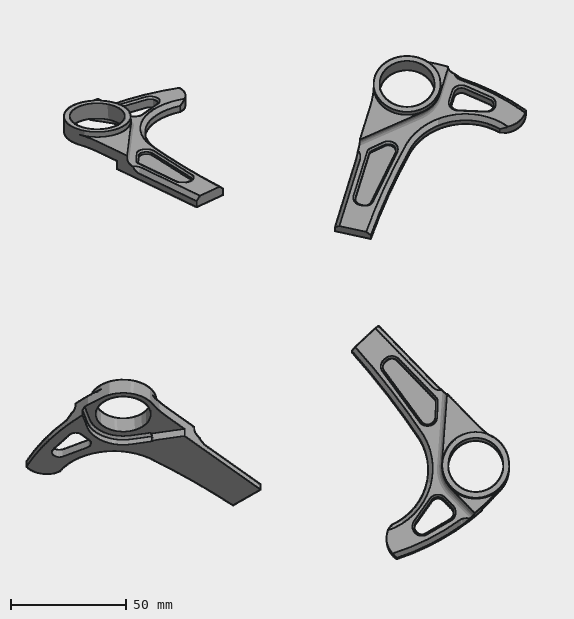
import cadquery as cq
import math


ring_top = 11.5
boss_top = 9.0
arm_top = 4.9
chamfer_foot = 3.05
recess_roof = 3.95

ring_radius = 14.6
bore_radius = 11.95
left_x = -15.0
arm_end_x = 89.85 + left_x
front_y = -13.0
tip_y = 52.4
tip_drop = 0.2
chamfer_width = 2.1
long_edge_minimum = 26.95
runout_radius = 3.4
left_runout_x = -13.9
left_runout_y = 22.0
front_runout_x = 39.1
runout_block_width = 7.2
reach = 107.8

boss_radius = 14.7
boss_slope_angle = 42.2
boss_fillet = 3.0

recess_radius = 16.2
recess_right_angle = 29.5
recess_left_angle = 118.0
recess_bevel = 1.2
bevel_end_y = -0.3
bevel_wall_shift = 0.5

window_bevel = 0.9
pocket_depth = 2.0


def polar(radius, degrees, along=0.0):
    """Point at a radius, moved along the clockwise tangent there."""
    angle = math.radians(degrees)
    return (
        radius * math.cos(angle) + along * math.sin(angle),
        radius * math.sin(angle) - along * math.cos(angle),
    )


def outline():
    """Closed plan outline of both arms; the ring covers its lower left chord."""
    blend_start = polar(ring_radius, -78)
    blend_end = (13.8, front_y)
    return (
        cq.Workplane("XY")
        .moveTo(-4.9, tip_y - tip_drop)
        .lineTo(-2.9, tip_y)
        .threePointArc((3.6, 50.1), (6.65, 46.2))
        .lineTo(7.2, 43.6)
        .threePointArc((9.0, 21.8), (26.5, 8.5))
        .threePointArc((49.5, 5.1), (arm_end_x, 3.1))
        .lineTo(arm_end_x, front_y)
        .lineTo(*blend_end)
        .threePointArc((8.45, -13.3), blend_start)
        .lineTo(*polar(ring_radius, 186))
        .lineTo(left_x, 7.2)
        .threePointArc((-12.3, 30.9), (-4.9, tip_y - tip_drop))
        .close()
    )


def around_ring(radius, left_angle, right_angle):
    """Region on the ring side of an arc continued by its two tangent lines."""
    middle = (left_angle + right_angle) / 2
    return (
        cq.Workplane("XY")
        .moveTo(*polar(radius, left_angle, -reach))
        .lineTo(*polar(radius, left_angle))
        .threePointArc(polar(radius, middle), polar(radius, right_angle))
        .lineTo(*polar(radius, right_angle, reach))
        .close()
    )


def runout(cone_center, block_center, length_x, length_y):
    """Square-edged block hollowed by a cone, where a long bevel curves out of the edge."""
    block = cq.Workplane("XY").center(*block_center).rect(length_x, length_y).extrude(arm_top)
    cone = cq.Solid.makeCone(
        runout_radius,
        runout_radius + chamfer_width,
        arm_top - chamfer_foot,
        pnt=cq.Vector(*cone_center, chamfer_foot),
    )
    return block.cut(cq.Workplane(cone))


def arms():
    """Flat arms with bevelled long edges that run out beside the boss."""
    plate = outline().extrude(arm_top)
    long_edges = [edge for edge in plate.faces(">Z").edges().vals() if edge.Length() > long_edge_minimum]
    beveled = plate.newObject(long_edges).chamfer(arm_top - chamfer_foot, chamfer_width)
    left_cone_x = left_runout_x - runout_radius
    left_runout = runout(
        (left_cone_x, left_runout_y),
        (left_runout_x, left_runout_y / 2),
        runout_block_width,
        left_runout_y,
    )
    front_cone_y = front_y - runout_radius
    front_runout = runout(
        (front_runout_x, front_cone_y),
        (front_runout_x / 2, front_y),
        front_runout_x,
        runout_block_width,
    )
    runouts = left_runout.union(front_runout).intersect(outline().extrude(arm_top))
    return beveled.union(runouts)


def boss():
    """Raised platform whose wall sweeps down into the arms."""
    wall = around_ring(boss_radius, 90, boss_slope_angle).extrude(boss_top)
    cove_radius = boss_radius + boss_fillet
    cove_top = arm_top + boss_fillet
    foot = around_ring(cove_radius, 90, boss_slope_angle).extrude(cove_top)
    start = polar(cove_radius, 90, -reach)
    cove_path = (
        cq.Workplane("XY", origin=(0, 0, cove_top))
        .moveTo(*start)
        .lineTo(*polar(cove_radius, 90))
        .threePointArc(
            polar(cove_radius, (90 + boss_slope_angle) / 2),
            polar(cove_radius, boss_slope_angle),
        )
        .lineTo(*polar(cove_radius, boss_slope_angle, reach))
    )
    cove = cq.Workplane("YZ", origin=(*start, cove_top)).circle(boss_fillet).sweep(cove_path)
    platform = wall.union(foot.cut(wall).cut(cove))
    return platform.intersect(outline().extrude(boss_top))


def recess():
    """Clearance below the ring, with a bevelled ceiling edge along most of its wall."""
    full = around_ring(recess_radius, recess_left_angle, recess_right_angle).extrude(recess_roof)
    beveled = full.faces(">Z").edges().chamfer(recess_bevel)
    shifted = around_ring(
        recess_radius - bevel_wall_shift, recess_left_angle, recess_right_angle
    ).extrude(recess_roof)
    behind = cq.Workplane("XY").box(
        2 * reach, reach, ring_top, centered=(True, False, False)
    ).translate((0, bevel_end_y, 0))
    return beveled.intersect(behind).union(shifted.cut(behind))


def rounded_polygon(corners):
    """Closed outline from (x, y, radius) corners, each rounded by a tangent arc."""
    path = cq.Workplane("XY", origin=(0, 0, arm_top))
    for index, (x, y, radius) in enumerate(corners):
        corner = cq.Vector(x, y)
        before = cq.Vector(*corners[index - 1][:2])
        after = cq.Vector(*corners[(index + 1) % len(corners)][:2])
        to_before = (before - corner).normalized()
        to_after = (after - corner).normalized()
        half_angle = to_before.getAngle(to_after) / 2
        setback = radius / math.tan(half_angle)
        middle_gap = radius / math.sin(half_angle) - radius
        start = corner + to_before * setback
        middle = corner + (to_before + to_after).normalized() * middle_gap
        end = corner + to_after * setback
        path = path.moveTo(start.x, start.y) if index == 0 else path.lineTo(start.x, start.y)
        path = path.threePointArc((middle.x, middle.y), (end.x, end.y))
    return path.close()


def window(corners, depth):
    """Cutter with a 45 degree rim and straight walls below it."""
    rim = rounded_polygon(corners).extrude(-window_bevel, taper=45)
    walls = rounded_polygon(corners).offset2D(-window_bevel).extrude(-depth)
    return rim.union(walls)


short_arm_window = [
    (-10.7, 18.8, 4.2),
    (4.85, 18.8, 4.2),
    (0.7, 39.0, 4.0),
    (-6.0, 39.0, 4.0),
]
long_arm_pocket = [
    (33.15, -9.0, 2.7),
    (62.1, -9.0, 4.1),
    (62.1, -0.45, 3.9),
    (19.5, 5.4, 4.2),
]

ring = cq.Workplane("XY").circle(ring_radius).extrude(ring_top)
bore = cq.Workplane("XY").circle(bore_radius).extrude(ring_top)

result = (
    arms()
    .union(boss())
    .union(ring)
    .cut(recess())
    .cut(bore)
    .cut(window(short_arm_window, arm_top))
    .cut(window(long_arm_pocket, pocket_depth))
)